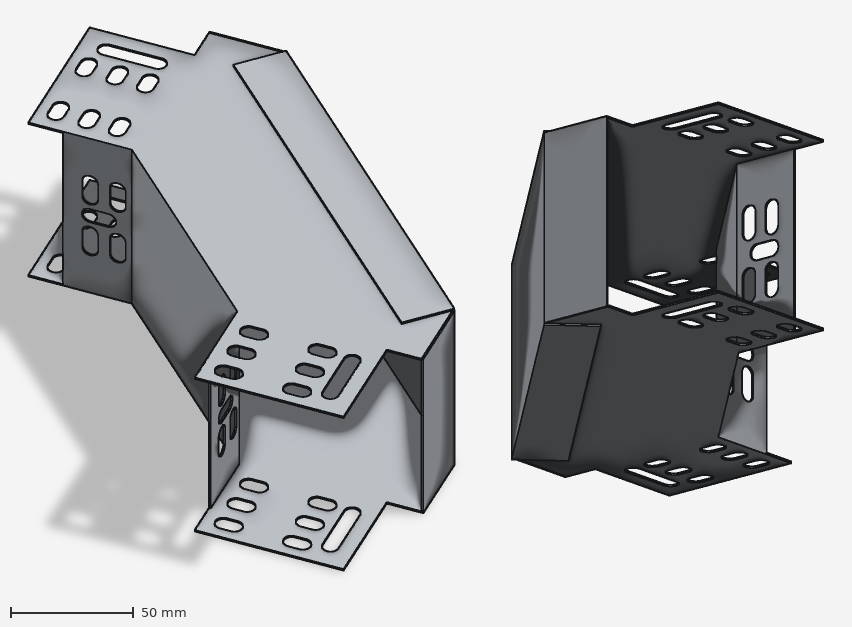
import cadquery as cq
import math


side = 206.2
height = 83.0
sheet = 0.8
diagonal_bend = 45.0
bend_shift = sheet * math.tan(math.radians(diagonal_bend / 2))

inner_side = 124.5
tab_side = 190.1
shoulder = 46.2
inner_bend = 45.5
wall_start = 15.3
duct_top = height / 2 - sheet

corner = 79.8
flange_width = 23.3
cover_inside = side - sheet
inside_corner = corner - bend_shift

slot_width = 7.0
crosswise = 90
short_slot = 12.0
short_slot_alongs = (8.5, 22.0, 35.5)
short_slot_acrosses = (136.0, 166.2)
long_slot = 30.1
long_slot_along = 23.0
long_slot_across = 179.6
wall_slot = 15.0
wall_slot_alongs = (27.2, 39.4)
wall_slot_rise = 13.5
level_slot_along = 31.1
wall_cut = 3 * sheet


def twin_points(points):
    """Mirror images of points in the line y = x, in reverse order."""
    return [(y, x) for x, y in reversed(points)]


def twin_arm(cutter):
    """Mirror image of a cutter in the plane y = x, on the arm along Y."""
    return cutter.mirror(cq.Vector(1, -1, 0))


def prism(points, bottom, top):
    return cq.Workplane("XY").workplane(offset=bottom).polyline(points).close().extrude(top - bottom)


def bent_wall(outer_face, inner_face):
    """Wall as high as the duct, given each face's points from its free end to the first bend."""
    outer = outer_face + twin_points(outer_face)
    inner = inner_face + twin_points(inner_face)
    return prism(outer + inner[::-1], -duct_top, duct_top)


def tab_slots():
    """Cutters for the tab slots of the arm along X, through both plates."""
    base = cq.Workplane("XY").workplane(offset=-height / 2)
    short_centers = [(x, y) for x in short_slot_alongs for y in short_slot_acrosses]
    short = base.pushPoints(short_centers).slot2D(short_slot, slot_width, crosswise).extrude(height)
    long = base.center(long_slot_along, long_slot_across).slot2D(long_slot, slot_width).extrude(height)
    return short.union(long)


def wall_slots():
    """Cutters for the inner wall slots of the arm along X."""
    base = cq.Workplane("XZ", origin=(0, inner_side + sheet / 2 + wall_cut / 2, 0))
    upright_centers = [(x, z) for x in wall_slot_alongs for z in (-wall_slot_rise, wall_slot_rise)]
    upright = base.pushPoints(upright_centers).slot2D(wall_slot, slot_width, crosswise).extrude(wall_cut)
    level = base.center(level_slot_along, 0).slot2D(wall_slot, slot_width).extrude(wall_cut)
    return upright.union(level)


def make_duct():
    half_plate = [
        (inner_bend, inner_side),
        (0, inner_side),
        (0, tab_side),
        (shoulder, tab_side),
        (shoulder, cover_inside),
        (inside_corner, cover_inside),
    ]
    plate = half_plate + twin_points(half_plate)
    outer_face = [(wall_start, inner_side), (inner_bend, inner_side)]
    inner_face = [(wall_start, inner_side + sheet), (inner_bend + bend_shift, inner_side + sheet)]

    duct = prism(plate, duct_top - sheet, duct_top)
    duct = duct.union(prism(plate, -duct_top, sheet - duct_top))
    duct = duct.union(bent_wall(outer_face, inner_face))
    for slots in (tab_slots(), wall_slots()):
        duct = duct.cut(slots).cut(twin_arm(slots))
    return duct


def make_cover():
    outer_face = [(shoulder, side), (corner, side)]
    inner_face = [(shoulder, cover_inside), (inside_corner, cover_inside)]
    cover = bent_wall(outer_face, inner_face)

    end_shift = (sheet - bend_shift) / 2
    end = (corner + end_shift, side - end_shift)
    flange_offset = flange_width * math.sin(math.radians(diagonal_bend))
    half_flange = [(end[0] - flange_offset, end[1] - flange_offset), end]
    flange = half_flange + twin_points(half_flange)
    cover = cover.union(prism(flange, duct_top, height / 2))
    cover = cover.union(prism(flange, -height / 2, -duct_top))
    return cover


duct = make_duct()
cover = make_cover()
result = cq.Compound.makeCompound([duct.val(), cover.val()])